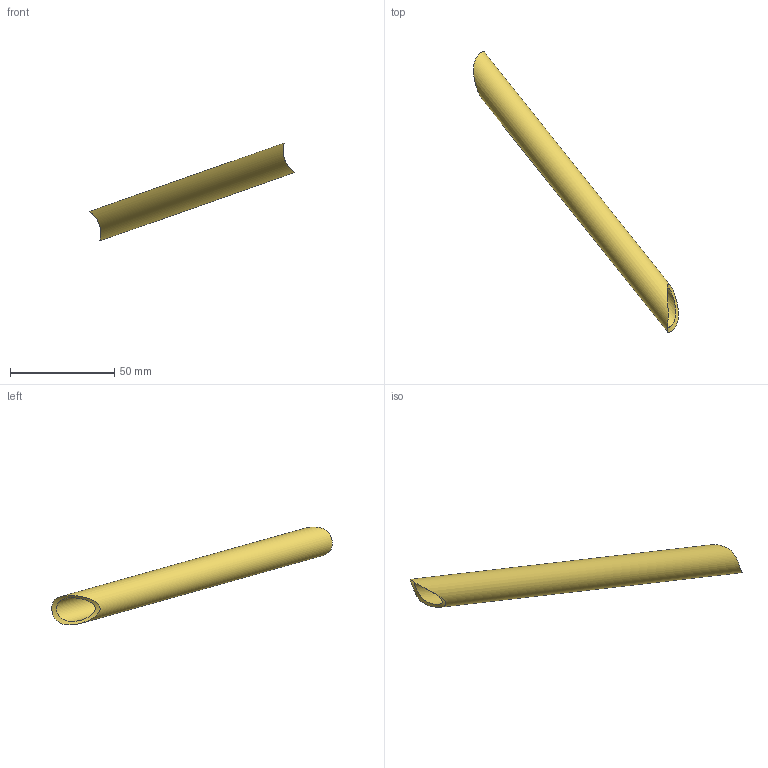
import cadquery as cq
import math


tube_diameter = 15.0
wall_thickness = 1.5
rail_diameter = 25.4

run_x = 112.94
run_y = -141.735
run_z = 39.72

tube_radius = tube_diameter / 2
bore_radius = tube_radius - wall_thickness
rail_radius = rail_diameter / 2
run = cq.Vector(run_x, run_y, run_z)
half_run = run / 2
axis = run.normalized()

tube_to_rail_angle = math.acos(abs(axis.y))
saddle_reach = (rail_radius + tube_radius) / math.sin(tube_to_rail_angle)


def make_tube():
    """Straight tube spanning from rail axis to rail axis, its seam on the level side."""
    level_side = axis.cross(cq.Vector(0, 0, 1))
    plane = cq.Plane(origin=half_run * -1, xDir=level_side, normal=axis)
    return cq.Workplane(plane).circle(tube_radius).circle(bore_radius).extrude(run.Length)


def make_rail(end):
    """Solid rail along Y, crossing the tube axis at its lower (-1) or upper (+1) end."""
    toward_tube = cq.Vector(-end, 0, 0)
    plane = cq.Plane(origin=half_run * end, xDir=toward_tube, normal=(0, 1, 0))
    return cq.Workplane(plane).circle(rail_radius).extrude(saddle_reach, both=True)


def cope_ends(tube):
    """Cut both tube ends to the rail surface."""
    for end in (-1, 1):
        tube = tube.cut(make_rail(end))
    return tube


result = cope_ends(make_tube())